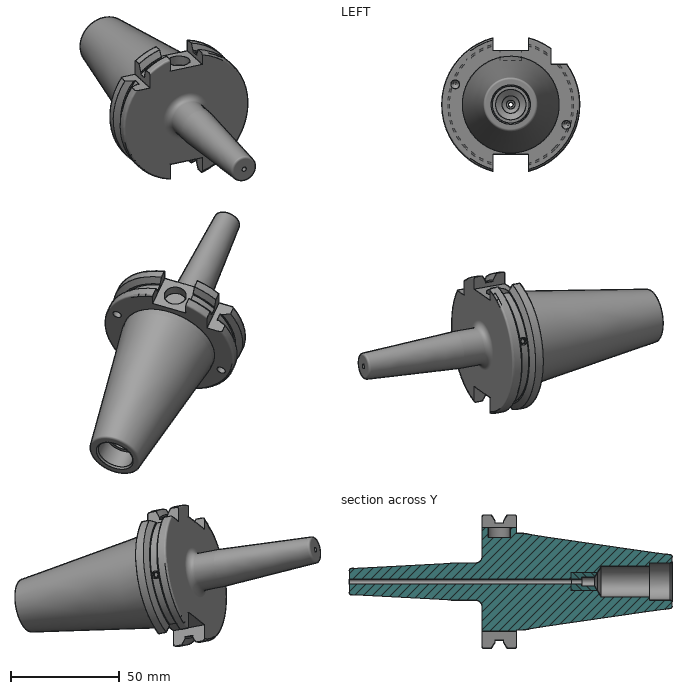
import cadquery as cq
import math


TAPER_LENGTH = 68.4
TAPER_LARGE_RADIUS = 22.3
TAPER_SLOPE = 7 / 48
TAPER_END_FILLET = 1.0

FLANGE_RADIUS = 31.8
FLANGE_START = 3.1
FLANGE_WIDTH = 15.9
FLANGE_FILLET = 0.9

GROOVE_TOP_WIDTH = 7.3
GROOVE_FLOOR_WIDTH = 3.7
GROOVE_FLOOR_RADIUS = 28.2
GROOVE_SLOPE_END_RADIUS = 29.0

NOSE_RADIUS = 8.6
NOSE_FILLET = 3.0
NOSE_CYLINDER_LENGTH = 13.4
NOSE_END = 80.0
NOSE_TIP_RADIUS = 6.1
NOSE_TIP_FILLET = 1.0

SLOT_WIDTH = 16.2
UPPER_SLOT_FLOOR = 25.0
LOWER_SLOT_FLOOR = 22.9
NOTCH_CORNER = 18.5
CHIP_HOLE_RADIUS = 5.0
CHIP_HOLE_DEPTH = 4.6

BORE_RADIUS = 8.5
BORE_CHAMFER_RADIUS = 9.0
BORE_CHAMFER_LENGTH = 1.0
BORE_DEPTH = 10.4
THREAD_RADIUS = 7.0
THREAD_DEPTH = 32.6
DRILL_POINT_ANGLE = 118
COOLANT_HOLE_RADIUS = 1.0

STOP_RADIUS = 4.0
STOP_LENGTH = 11.9
STOP_SOCKET_RADIUS = 2.0
STOP_SOCKET_DEPTH = 6.0

FACE_HOLE_RADIUS = 2.0
FACE_HOLE_CIRCLE_RADIUS = 27.2
FACE_HOLE_DEPTH = 4.5
SET_SCREW_RADIUS = 1.8
SET_SCREW_LENGTH = 2.1
HEX_ACROSS_FLATS = 2.2
HEX_DEPTH = 1.2
PAIR_ANGLE = 20

TAPER_START = -TAPER_LENGTH
TAPER_SMALL_RADIUS = TAPER_LARGE_RADIUS - TAPER_LENGTH * TAPER_SLOPE
FLANGE_END = FLANGE_START + FLANGE_WIDTH
FLANGE_CENTRE = FLANGE_START + FLANGE_WIDTH / 2
BORE_END = TAPER_START + BORE_DEPTH
THREAD_END = TAPER_START + THREAD_DEPTH
CONE_RATIO = math.tan(math.radians(DRILL_POINT_ANGLE / 2))
STOP_START = THREAD_END + (THREAD_RADIUS - STOP_RADIUS) / CONE_RATIO
STOP_END = STOP_START + STOP_LENGTH
STOP_CONE_END = STOP_START + (STOP_RADIUS - STOP_SOCKET_RADIUS) / CONE_RATIO
SET_SCREW_HEAD = math.sqrt(GROOVE_FLOOR_RADIUS**2 - SET_SCREW_RADIUS**2)
SET_SCREW_BOTTOM = SET_SCREW_HEAD - SET_SCREW_LENGTH
PAIR_TURNS = (180 + PAIR_ANGLE, PAIR_ANGLE)


def revolve_profile(points):
    """Revolve a closed profile of (x, radius) points around the X axis."""
    return cq.Workplane("XY").polyline(points).close().revolve(360, (0, 0, 0), (1, 0, 0))


def turned_body():
    taper = revolve_profile([
        (TAPER_START, 0),
        (TAPER_START, TAPER_SMALL_RADIUS),
        (0, TAPER_LARGE_RADIUS),
        (FLANGE_START, TAPER_LARGE_RADIUS),
        (FLANGE_START, 0),
    ])
    taper = taper.faces("<X").edges().fillet(TAPER_END_FILLET)

    flange = cq.Workplane("YZ", origin=(FLANGE_START, 0, 0)).circle(FLANGE_RADIUS).extrude(FLANGE_WIDTH)
    flange = flange.faces("<X or >X").edges().fillet(FLANGE_FILLET)

    nose = (
        cq.Workplane("XY")
        .moveTo(FLANGE_END, 0)
        .lineTo(FLANGE_END, NOSE_RADIUS + NOSE_FILLET)
        .radiusArc((FLANGE_END + NOSE_FILLET, NOSE_RADIUS), -NOSE_FILLET)
        .lineTo(FLANGE_END + NOSE_CYLINDER_LENGTH, NOSE_RADIUS)
        .lineTo(NOSE_END, NOSE_TIP_RADIUS)
        .lineTo(NOSE_END, 0)
        .close()
        .revolve(360, (0, 0, 0), (1, 0, 0))
    )
    nose = nose.faces(">X").edges().fillet(NOSE_TIP_FILLET)
    return taper.union(flange).union(nose)


def gripper_groove():
    half_top = GROOVE_TOP_WIDTH / 2
    half_floor = GROOVE_FLOOR_WIDTH / 2
    return revolve_profile([
        (FLANGE_CENTRE - half_floor, GROOVE_FLOOR_RADIUS),
        (FLANGE_CENTRE - half_floor, GROOVE_SLOPE_END_RADIUS),
        (FLANGE_CENTRE - half_top, FLANGE_RADIUS),
        (FLANGE_CENTRE + half_top, FLANGE_RADIUS),
        (FLANGE_CENTRE + half_floor, GROOVE_SLOPE_END_RADIUS),
        (FLANGE_CENTRE + half_floor, GROOVE_FLOOR_RADIUS),
    ])


def drive_slots():
    blank = cq.Workplane("XY").box(FLANGE_WIDTH, SLOT_WIDTH, FLANGE_RADIUS, centered=(True, True, False))
    upper = blank.translate((FLANGE_CENTRE, 0, UPPER_SLOT_FLOOR))
    lower = blank.translate((FLANGE_CENTRE, 0, -LOWER_SLOT_FLOOR - FLANGE_RADIUS))
    return upper.union(lower)


def corner_notch():
    blank = cq.Workplane("XY").box(FLANGE_WIDTH, FLANGE_RADIUS, FLANGE_RADIUS, centered=False)
    return blank.translate((FLANGE_START, -NOTCH_CORNER - FLANGE_RADIUS, NOTCH_CORNER))


def chip_hole():
    floor = cq.Workplane("XY", origin=(FLANGE_CENTRE, 0, UPPER_SLOT_FLOOR - CHIP_HOLE_DEPTH))
    return floor.circle(CHIP_HOLE_RADIUS).extrude(CHIP_HOLE_DEPTH)


def stepped_bore():
    return revolve_profile([
        (TAPER_START, 0),
        (TAPER_START, BORE_CHAMFER_RADIUS),
        (TAPER_START + BORE_CHAMFER_LENGTH, BORE_RADIUS),
        (BORE_END, BORE_RADIUS),
        (BORE_END, THREAD_RADIUS),
        (THREAD_END, THREAD_RADIUS),
        (STOP_START, STOP_RADIUS),
        (STOP_END, STOP_RADIUS),
        (STOP_END, COOLANT_HOLE_RADIUS),
        (NOSE_END, COOLANT_HOLE_RADIUS),
        (NOSE_END, 0),
    ])


def screw_hole():
    """Radial hole on the +Y side, from the groove floor down to the end of the set screw."""
    bottom = cq.Workplane("XZ", origin=(FLANGE_CENTRE, SET_SCREW_BOTTOM, 0))
    return bottom.circle(SET_SCREW_RADIUS).extrude(SET_SCREW_BOTTOM - FLANGE_RADIUS)


def face_hole():
    """Blind hole with a drill point on the +Y side, parallel to the axis."""
    shoulder = FLANGE_START + FACE_HOLE_DEPTH
    hole = revolve_profile([
        (FLANGE_START, 0),
        (FLANGE_START, FACE_HOLE_RADIUS),
        (shoulder, FACE_HOLE_RADIUS),
        (shoulder + FACE_HOLE_RADIUS / CONE_RATIO, 0),
    ])
    return hole.translate((0, FACE_HOLE_CIRCLE_RADIUS, 0))


def turn_about_axis(feature, angle):
    return feature.rotate((0, 0, 0), (1, 0, 0), angle)


def make_holder():
    holder = (
        turned_body()
        .cut(gripper_groove())
        .cut(drive_slots())
        .cut(corner_notch())
        .cut(chip_hole())
        .cut(stepped_bore())
    )
    for angle in PAIR_TURNS:
        holder = holder.cut(turn_about_axis(screw_hole(), angle))
        holder = holder.cut(turn_about_axis(face_hole(), angle))
    return holder


def make_stop_screw():
    """Threaded stop with a conical mouth, a round socket and a coolant hole through it."""
    return revolve_profile([
        (STOP_START, STOP_RADIUS),
        (STOP_CONE_END, STOP_SOCKET_RADIUS),
        (STOP_CONE_END + STOP_SOCKET_DEPTH, STOP_SOCKET_RADIUS),
        (STOP_CONE_END + STOP_SOCKET_DEPTH, COOLANT_HOLE_RADIUS),
        (STOP_END, COOLANT_HOLE_RADIUS),
        (STOP_END, STOP_RADIUS),
    ])


def make_set_screw(angle):
    """Short hexagon-socket screw that fills a screw hole, just below the groove floor."""
    blank = cq.Workplane("XZ", origin=(FLANGE_CENTRE, SET_SCREW_HEAD, 0))
    hexagon = blank.polygon(6, HEX_ACROSS_FLATS / math.cos(math.pi / 6)).extrude(HEX_DEPTH)
    screw = blank.circle(SET_SCREW_RADIUS).extrude(SET_SCREW_LENGTH).cut(hexagon)
    return turn_about_axis(screw, angle)


holder = make_holder()
stop_screw = make_stop_screw()
set_screws = [make_set_screw(angle) for angle in PAIR_TURNS]

result = cq.Compound.makeCompound([
    holder.val(),
    stop_screw.val(),
    *[screw.val() for screw in set_screws],
])